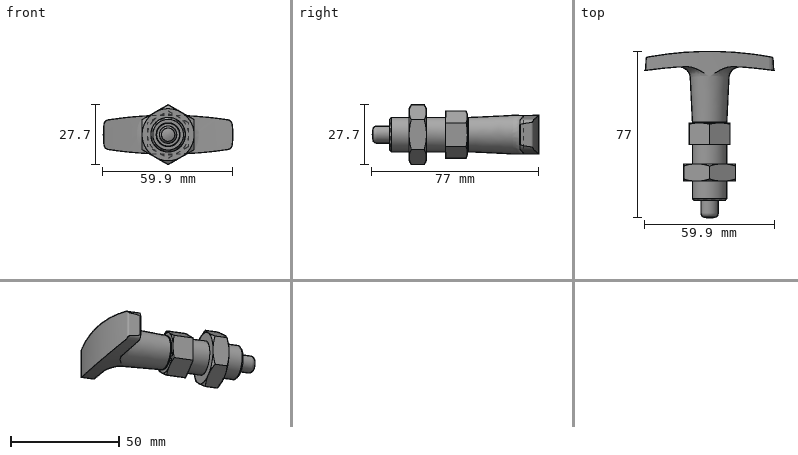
import cadquery as cq
import math

total_length = 77.0

pin_radius = 8.0 / 2
pin_round_y = 2.0
dome_radius = 3.1
dome_height = 0.5
tip_bulge = 0.15

sleeve_radius = 16.0 / 2
sleeve_end_y = 8.0
sleeve_chamfer = 0.9
groove_outer_radius = 11.0 / 2
groove_width = 0.2
groove_depth = 0.4

nut_corner_diameter = 27.7
nut_y = 17.0
nut_height = 8.0
nut_chamfer_height = 1.0
collar_corner_diameter = 21.9
collar_y = 33.9
collar_height = 10.0
collar_chamfer_height = 0.55

neck_radius = 7.7
neck_start_y = collar_y + collar_height / 2
stem_y = 44.4

stem_top_y = 65.15
stem_top_radius = 9.0
handle_length = 59.9
handle_half_width = 9.0
handle_end_bulge = 0.6
handle_end_half_width = 6.6
handle_crown_drop = 2.8
handle_underside_y = 70.2
handle_underside_drop = 2.15
handle_corner_radius = 2.55
handle_end_draft = 3.5
handle_lip_height = 0.5
handle_lip_depth = 0.3
handle_top_edge_radius = 0.9
stem_fillet = 5.0
overlap = 3.1


def solid_of_revolution(profile):
    """Revolve a closed XY profile about the Y axis."""
    return profile.close().revolve(360, (0, 0, 0), (0, 1, 0))


def along_y(start_y):
    """Workplane whose normal is +Y, at the given position."""
    return cq.Workplane("XZ", origin=(0, start_y, 0)).transformed(rotate=(180, 0, 0))


def hexagon(corner_diameter, start_y, height, bottom_chamfer, top_chamfer):
    """Hexagon with corners on Z, its ends turned down to the across-flats circle."""
    corner_radius = corner_diameter / 2
    flat_radius = corner_radius * math.cos(math.radians(30))
    end_y = start_y + height
    prism = along_y(start_y).polygon(6, corner_diameter).extrude(height)
    prism = prism.rotate((0, 0, 0), (0, 1, 0), 30)
    points = [(0, start_y)]
    if bottom_chamfer:
        points.append((flat_radius, start_y))
    points.append((corner_radius, start_y + bottom_chamfer))
    points.append((corner_radius, end_y - top_chamfer))
    points += [(flat_radius, end_y), (0, end_y)]
    return prism.intersect(solid_of_revolution(cq.Workplane("XY").polyline(points)))


def pin_and_sleeve():
    """Domed pin, chamfered sleeve and neck, turned in one piece."""
    round_mid = (
        (pin_radius + dome_radius) / 2 + tip_bulge,
        (pin_round_y + dome_height) / 2 - tip_bulge,
    )
    dome_mid = (dome_radius / 2, dome_height / 4)
    profile = (
        cq.Workplane("XY")
        .moveTo(0, 0)
        .threePointArc(dome_mid, (dome_radius, dome_height))
        .threePointArc(round_mid, (pin_radius, pin_round_y))
        .lineTo(pin_radius, sleeve_end_y)
        .lineTo(sleeve_radius - sleeve_chamfer, sleeve_end_y)
        .lineTo(sleeve_radius, sleeve_end_y + sleeve_chamfer)
        .lineTo(sleeve_radius, neck_start_y)
        .lineTo(neck_radius, neck_start_y)
        .lineTo(neck_radius, stem_y)
        .lineTo(0, stem_y)
    )
    groove = (
        along_y(sleeve_end_y)
        .circle(groove_outer_radius)
        .circle(groove_outer_radius - groove_width)
        .extrude(groove_depth)
    )
    return solid_of_revolution(profile).cut(groove)


def handle():
    """T-handle: arched grip blended into a tapered stem."""
    half_length = handle_length / 2
    end_bottom_y = handle_underside_y - handle_underside_drop
    lean = math.tan(math.radians(handle_end_draft))
    crown_end_y = total_length - handle_crown_drop
    lip_x = half_length - handle_lip_depth
    lip_y = end_bottom_y + handle_lip_height
    top_x = lip_x - lean * (crown_end_y - lip_y)

    blank_half_width = 2 * handle_half_width
    crown_ends = cq.selectors.BoxSelector(
        (-half_length, crown_end_y - 0.8, -0.8), (half_length, crown_end_y + 0.8, 0.8)
    )
    blank = (
        cq.Workplane("XY")
        .moveTo(-half_length, end_bottom_y)
        .threePointArc((0, handle_underside_y), (half_length, end_bottom_y))
        .lineTo(lip_x, lip_y)
        .lineTo(top_x, crown_end_y)
        .threePointArc((0, total_length), (-top_x, crown_end_y))
        .lineTo(-lip_x, lip_y)
        .close()
        .extrude(2 * blank_half_width)
        .translate((0, 0, -blank_half_width))
        .edges(crown_ends)
        .fillet(handle_top_edge_radius)
    )
    root_y = handle_underside_y + overlap
    stem_taper = (stem_top_radius - sleeve_radius) / (stem_top_y - stem_y)
    root_radius = sleeve_radius + stem_taper * (root_y - stem_y)
    stem = solid_of_revolution(
        cq.Workplane("XY").polyline(
            [
                (0, stem_y),
                (sleeve_radius, stem_y),
                (root_radius, root_y),
                (0, root_y),
            ]
        )
    )
    junction = cq.selectors.BoxSelector(
        (-half_length / 2, end_bottom_y + 0.8, -blank_half_width + 0.8),
        (half_length / 2, handle_underside_y + 0.8, blank_half_width - 0.8),
    )
    blended = blank.union(stem).edges(junction).fillet(stem_fillet)

    corner_x = half_length - handle_end_bulge
    corner_z = handle_end_half_width
    outline = (
        along_y(stem_y)
        .moveTo(-corner_x, -corner_z)
        .threePointArc((0, -handle_half_width), (corner_x, -corner_z))
        .threePointArc((half_length, 0), (corner_x, corner_z))
        .threePointArc((0, handle_half_width), (-corner_x, corner_z))
        .threePointArc((-half_length, 0), (-corner_x, -corner_z))
        .close()
        .extrude(total_length - stem_y)
        .edges("|Y")
        .fillet(handle_corner_radius)
    )
    return blended.intersect(outline)


nut = hexagon(nut_corner_diameter, nut_y, nut_height, nut_chamfer_height, nut_chamfer_height)
collar = hexagon(collar_corner_diameter, collar_y, collar_height, 0, collar_chamfer_height)
result = pin_and_sleeve().union(nut).union(collar).union(handle())